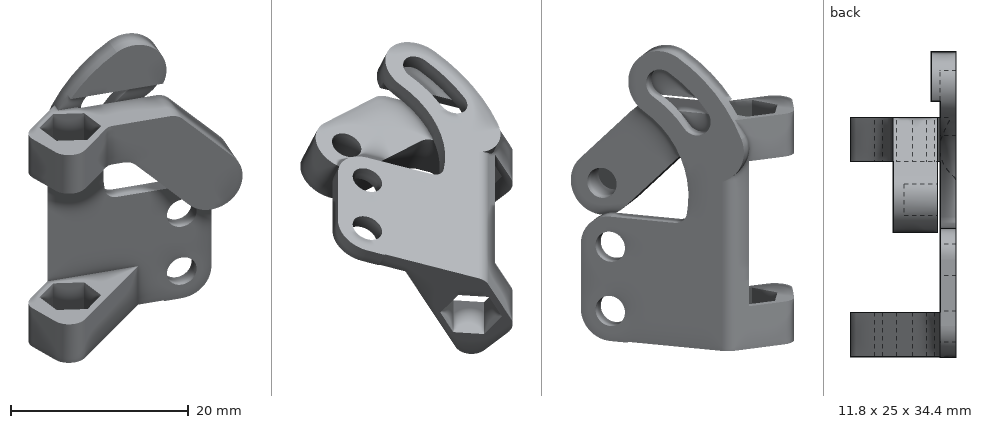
import cadquery as cq
import math

plate_thickness = 1.8
plate_bottom = 0.1
plate_back = 15.4
front_edge_radius = 1.8

lug_radius = 3.5
lug_y = 19.55
lug_hole_spacing = 7.5
lug_foot_length = 2.05
lug_inner_fillet = 1.45
hole_diameter = 3.5

pivot_y = 21.28
pivot_z = 17.75
pivot_radius = 3.7
pivot_hole_depth = 3.78
block_start = 2.05
block_width = 5.0
block_end = block_start + block_width
block_root_y = 6.88
block_gap_y = 7.22
bend_radius = 2.05

arm_radius = 14.92
arm_half_width = 3.9
arm_start_angle = 22.7
arm_end_angle = 58.7
slot_start_angle = 36.9
backing_thickness = 1.0
backing_bottom = 28.78

hex_x = 5.78
hex_y = 5.02
hex_across_flats = 6.0
hex_rotation = 15.0
hex_sides = 6
strap_half_width = 3.78
strap_end = 5.4
strap_end_slant = 22.5
strap_corner_radius = 2.0
strap_height = 5.0
upper_strap_bottom = 22.0
strap_root_length = 20.63
strap_angle = -45.0
block_strap_fillet = 1.15

inner_radius = arm_radius - arm_half_width
upper_strap_top = upper_strap_bottom + strap_height
edge_sum = hex_x + hex_y - strap_half_width * math.sqrt(2)
arm_start_z = pivot_z + arm_radius * math.sin(math.radians(arm_start_angle))


def side_plane(x):
    """YZ sketch plane at the given x; extrusions run toward +X."""
    return cq.Workplane("YZ", origin=(x, 0, 0))


def box(x0, x1, y0, y1, z0, z1):
    return cq.Workplane("XY").box(x1 - x0, y1 - y0, z1 - z0, centered=False).translate((x0, y0, z0))


def pivot_disk(radius, x, length):
    return side_plane(x).center(pivot_y, pivot_z).circle(radius).extrude(length)


def polar(radius, angle):
    """Point about the pivot, with the angle rising from -Y toward +Z."""
    a = math.radians(angle)
    return (pivot_y - radius * math.cos(a), pivot_z + radius * math.sin(a))


def curved_slot(half_width, angle0, angle1, x, length):
    """Round-ended band following the arm centre line."""
    inner = arm_radius - half_width
    outer = arm_radius + half_width
    middle = (angle0 + angle1) / 2
    return (
        side_plane(x)
        .moveTo(*polar(outer, angle0))
        .threePointArc(polar(outer, middle), polar(outer, angle1))
        .tangentArcPoint(polar(inner, angle1), relative=False)
        .threePointArc(polar(inner, middle), polar(inner, angle0))
        .tangentArcPoint(polar(outer, angle0), relative=False)
        .close()
        .extrude(length)
    )


def bevelled_plate(back, top):
    """Upright plate whose front edge is bevelled at 45 degrees and rounded."""
    return (
        cq.Workplane("XY", origin=(0, 0, plate_bottom))
        .polyline([
            (0, edge_sum),
            (plate_thickness, edge_sum - plate_thickness),
            (plate_thickness, back),
            (0, back),
        ])
        .close()
        .extrude(top - plate_bottom)
        .edges(cq.selectors.NearestToPointSelector((0, edge_sum, (plate_bottom + top) / 2)))
        .fillet(front_edge_radius)
    )


def make_lug():
    upper_z = lug_radius + lug_hole_spacing
    top = upper_z + lug_radius
    back = lug_y + lug_radius
    front = edge_sum + front_edge_radius
    lug = box(0, plate_thickness, front, back, 0, top)
    lug = lug.edges("|X and >Y").fillet(lug_radius)
    step = box(0, plate_thickness, front, lug_y - lug_foot_length, 0, plate_bottom)
    return lug.cut(step)


def make_plate():
    plate = bevelled_plate(plate_back, arm_start_z)
    plate = plate.cut(pivot_disk(inner_radius, 0, plate_thickness)).union(make_lug())
    lug_top = lug_hole_spacing + 2 * lug_radius
    corner_y = pivot_y - math.sqrt(inner_radius**2 - (pivot_z - lug_top) ** 2)
    corner = (plate_thickness / 2, corner_y, lug_top)
    plate = plate.edges(cq.selectors.NearestToPointSelector(corner)).fillet(lug_inner_fillet)
    rim_back = edge_sum + front_edge_radius / 2
    return plate.union(bevelled_plate(rim_back, upper_strap_top))


def make_arm():
    arm = curved_slot(arm_half_width, arm_start_angle, arm_end_angle, 0, plate_thickness)
    backing = curved_slot(
        arm_half_width, arm_start_angle, arm_end_angle, plate_thickness, backing_thickness
    )
    below = box(0, block_end, 0, 2 * pivot_y, 0, backing_bottom)
    return arm.union(backing.cut(below))


def make_strap(bottom):
    slant = strap_half_width * math.tan(math.radians(strap_end_slant))
    strap = (
        cq.Workplane("XY")
        .polyline([
            (-strap_root_length, -strap_half_width),
            (strap_end - slant, -strap_half_width),
            (strap_end + slant, strap_half_width),
            (-strap_root_length, strap_half_width),
        ])
        .close()
        .extrude(strap_height)
        .edges("|Z and (not <X)")
        .fillet(strap_corner_radius)
        .rotate((0, 0, 0), (0, 0, 1), strap_angle)
        .translate((hex_x, hex_y, bottom))
    )
    beyond_plate = box(
        plate_thickness - strap_root_length, plate_thickness,
        -strap_root_length, 2 * strap_root_length,
        bottom, bottom + strap_height,
    )
    return strap.cut(beyond_plate)


def make_pivot_block():
    """Bar that runs level from the upper strap, then down at 45 degrees to the pivot."""
    offset = pivot_radius * math.sqrt(2)
    tangent = pivot_radius / math.sqrt(2)
    upper_bend_y = pivot_y + pivot_z + offset - upper_strap_top
    lower_bend_y = pivot_y + pivot_z - offset - upper_strap_bottom
    end_point = (pivot_y + tangent, pivot_z - tangent)
    bar = (
        side_plane(block_start)
        .moveTo(block_root_y, upper_strap_bottom)
        .lineTo(lower_bend_y, upper_strap_bottom)
        .lineTo(pivot_y - tangent, pivot_z - tangent)
        .threePointArc(end_point, (pivot_y + tangent, pivot_z + tangent))
        .lineTo(upper_bend_y, upper_strap_top)
        .lineTo(block_root_y, upper_strap_top)
        .close()
        .extrude(block_width)
    )
    middle_x = block_start + block_width / 2
    for bend_y, bend_z in ((lower_bend_y, upper_strap_bottom), (upper_bend_y, upper_strap_top)):
        bend = cq.selectors.NearestToPointSelector((middle_x, bend_y, bend_z))
        bar = bar.edges(bend).fillet(bend_radius)
    return bar


def make_upper_bracket():
    gap = box(
        plate_thickness, block_start,
        block_gap_y, pivot_y,
        upper_strap_bottom, upper_strap_top,
    )
    bracket = make_strap(upper_strap_bottom).cut(gap).union(make_pivot_block())
    corner_y = hex_x + hex_y + strap_half_width * math.sqrt(2) - block_end
    corner = (block_end, corner_y, upper_strap_bottom + strap_height / 2)
    return bracket.edges(cq.selectors.NearestToPointSelector(corner)).fillet(block_strap_fillet)


def hex_sockets():
    across_corners = hex_across_flats / math.cos(math.pi / hex_sides)
    return (
        cq.Workplane("XY")
        .polygon(hex_sides, across_corners)
        .extrude(upper_strap_top)
        .rotate((0, 0, 0), (0, 0, 1), hex_rotation)
        .translate((hex_x, hex_y, 0))
    )


def lug_holes():
    centres = [(lug_y, lug_radius), (lug_y, lug_radius + lug_hole_spacing)]
    return side_plane(0).pushPoints(centres).circle(hole_diameter / 2).extrude(plate_thickness)


result = (
    make_plate()
    .union(make_arm())
    .cut(curved_slot(hole_diameter / 2, slot_start_angle, arm_end_angle, 0, plate_thickness))
    .union(make_strap(plate_bottom))
    .union(make_upper_bracket())
    .cut(hex_sockets())
    .cut(lug_holes())
    .cut(pivot_disk(hole_diameter / 2, block_start, pivot_hole_depth))
)